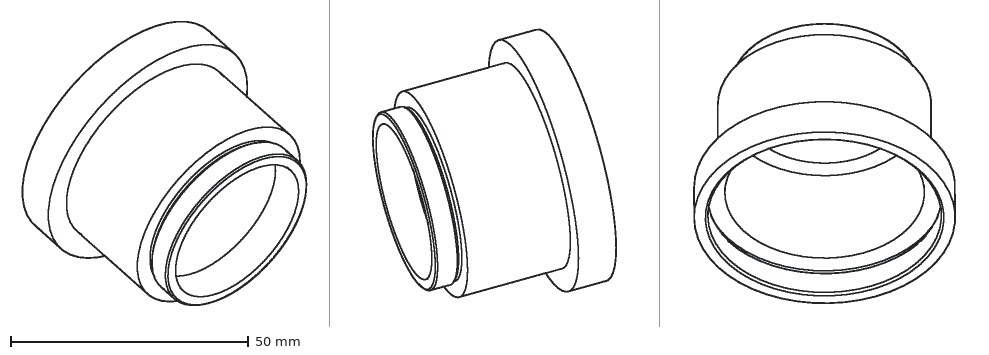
import cadquery as cq

flange_diameter = 55.0
body_diameter = 45.0
male_thread_diameter = 39.0
male_relief_diameter = 38.0

female_thread_diameter = 49.15
female_relief_diameter = 50.2
bore_diameter = 42.0
exit_diameter = 34.0

flange_length = 8.45
body_end = 31.5
total_length = 37.5
female_socket_depth = 7.0
bore_depth = 30.0

male_relief_width = 0.7
male_end_chamfer = 0.4
female_relief_width = 0.7

male_relief_bevel = (male_thread_diameter - male_relief_diameter) / 2
female_bevel = (female_relief_diameter - female_thread_diameter) / 2


def cylinder(start, end, diameter):
    """Solid cylinder on the X axis between two places."""
    return cq.Workplane("YZ").workplane(offset=start).circle(diameter / 2).extrude(end - start)


def cone(start, end, start_diameter, end_diameter):
    """Solid truncated cone on the X axis between two places."""
    axis = cq.Vector(1, 0, 0)
    base = cq.Vector(start, 0, 0)
    return cq.Workplane(
        cq.Solid.makeCone(start_diameter / 2, end_diameter / 2, end - start, base, axis)
    )


def male_end():
    """Threaded spigot with an undercut next to the body and a chamfered tip."""
    relief_end = body_end + male_relief_width
    thread_start = relief_end + male_relief_bevel
    thread_end = total_length - male_end_chamfer
    tip_diameter = male_thread_diameter - 2 * male_end_chamfer
    return (
        cylinder(body_end, relief_end, male_relief_diameter)
        .union(cone(relief_end, thread_start, male_relief_diameter, male_thread_diameter))
        .union(cylinder(thread_start, thread_end, male_thread_diameter))
        .union(cone(thread_end, total_length, male_thread_diameter, tip_diameter))
    )


def female_socket():
    """Threaded socket in the flange with a bevelled mouth and an undercut at its floor."""
    relief_start = female_socket_depth - female_relief_width
    bevel_start = relief_start - female_bevel
    return (
        cylinder(0, female_socket_depth, female_thread_diameter)
        .union(cone(0, female_bevel, female_relief_diameter, female_thread_diameter))
        .union(cone(bevel_start, relief_start, female_thread_diameter, female_relief_diameter))
        .union(cylinder(relief_start, female_socket_depth, female_relief_diameter))
    )


def through_passage():
    """Stepped bore that narrows to the exit hole in the spigot."""
    bore = cylinder(0, bore_depth, bore_diameter)
    return bore.union(cylinder(0, total_length, exit_diameter))


flange = cylinder(0, flange_length, flange_diameter)
body = cylinder(0, body_end, body_diameter)
result = flange.union(body).union(male_end()).cut(female_socket()).cut(through_passage())